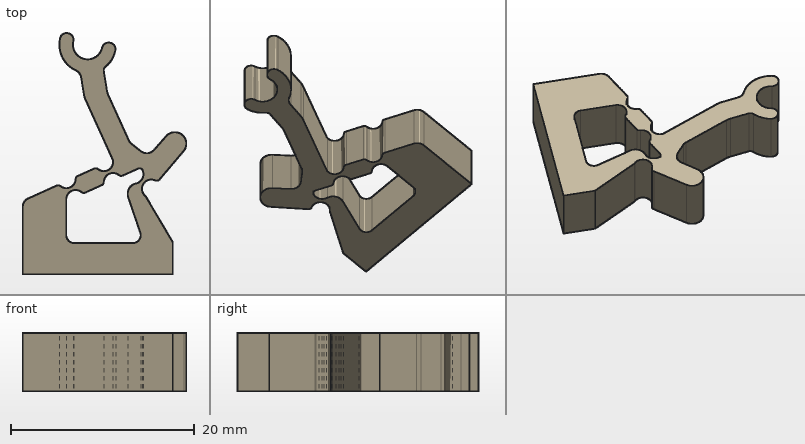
import cadquery as cq
import math

thickness = 6.35
base_width = 16.34
base_right_height = 3.5
base_corner_radius = 1.0

notch_radius = 1.0
web_thickness = 0.44
edge_radius = 0.4
notch_offset = notch_radius + web_thickness / 2

tilt = 24.4
band_axis_height = 6.27
band_half_width = 1.0
hinge_1_along = 8.615
hinge_2_along = 13.093

arm_left_offset = 0.97
arm_width = 2.48
bend_radius = 1.9
hook_center = (7.075, 24.97)
hook_inner_radius = 1.59
hook_wall = 1.5
hook_left_tip_angle = 167.0
hook_right_tip_angle = -12.5
neck_angle = 99.2
neck_width = 2.56
neck_left_radius = 1.0
neck_right_radius = 0.5

hinge_3 = (13.055, 10.085)
horn_angle = 49.7
horn_length = 5.41
horn_radius = 1.255
saddle_center = (13.5, 14.23)
saddle_radius = 1.05
knee_center_height = 14.98
knee_radius = 1.0

leg_outer_angle = 120.6
leg_tip_radius = 1.18
leg_tip_direction = -77.7

window_floor = 3.41
window_corner_radius = 0.85
window_right_corner_x = 11.98
head_tip_radius = 0.35
head_tip_along = 16.2

touching_tolerance = 1e-3


def shifted(point, distance, angle):
    """Point at a distance from another point, in the direction of an angle in degrees."""
    turn = math.radians(angle)
    return (point[0] + distance * math.cos(turn), point[1] + distance * math.sin(turn))


def band_point(along, height):
    """Point given along and across the tilted band, measured from the base corner."""
    return shifted(shifted((0, 0), along, tilt), height, tilt + 90)


def crossing(point_a, angle_a, point_b, angle_b):
    """Point where two lines cross."""
    dx = point_b[0] - point_a[0]
    dy = point_b[1] - point_a[1]
    b = math.radians(angle_b)
    distance = (dx * math.sin(b) - dy * math.cos(b)) / math.sin(math.radians(angle_b - angle_a))
    return shifted(point_a, distance, angle_a)


def edge_round(notch, point, angle, material_side):
    """Center of the rounded edge between a notch and a straight face.

    The face runs through the point and heads away from the notch at the angle. The material is
    on its left (+1) or on its right (-1).
    """
    inner = shifted(point, edge_radius, angle + 90 * material_side)
    turn = math.radians(angle)
    dx = notch[0] - inner[0]
    dy = notch[1] - inner[1]
    along = dx * math.cos(turn) + dy * math.sin(turn)
    across = dy * math.cos(turn) - dx * math.sin(turn)
    reach = math.sqrt((notch_radius + edge_radius) ** 2 - across**2)
    return shifted(inner, along + reach, angle)


def belt(rounds):
    """Closed wire that runs counterclockwise along a list of (center, radius).

    Neighboring circles are joined by their common tangent. The wire turns left around a positive
    radius, right around a negative one, and has a sharp corner at a radius of zero.
    """
    count = len(rounds)
    headings = []
    lengths = []
    for i in range(count):
        start, start_radius = rounds[i]
        end, end_radius = rounds[(i + 1) % count]
        dx = end[0] - start[0]
        dy = end[1] - start[1]
        ratio = (start_radius - end_radius) / math.hypot(dx, dy)
        lean = math.asin(max(-1, min(1, ratio)))
        headings.append(math.degrees(math.atan2(dy, dx) + lean))
        lengths.append(math.hypot(dx, dy) * math.cos(lean))

    center, radius = rounds[0]
    path = cq.Workplane("XY").moveTo(*shifted(center, radius, headings[0] - 90))
    for i in range(count):
        center, radius = rounds[(i + 1) % count]
        next_heading = headings[(i + 1) % count]
        if lengths[i] > touching_tolerance:
            path = path.lineTo(*shifted(center, radius, headings[i] - 90))
        if radius != 0:
            direction = math.copysign(1, radius)
            sweep = direction * ((direction * (next_heading - headings[i])) % 360)
            middle = shifted(center, radius, headings[i] + sweep / 2 - 90)
            path = path.threePointArc(middle, shifted(center, radius, next_heading - 90))
    return path.close()


band_top = band_axis_height + band_half_width
band_bottom = band_axis_height - band_half_width
top_face = band_point(0, band_top)
bottom_face = band_point(0, band_bottom)

notch_1_top = band_point(hinge_1_along, band_axis_height + notch_offset)
notch_1_bottom = band_point(hinge_1_along, band_axis_height - notch_offset)
notch_2_top = band_point(hinge_2_along, band_axis_height + notch_offset)
notch_2_bottom = band_point(hinge_2_along, band_axis_height - notch_offset)
notch_3_inner = shifted(hinge_3, notch_offset, horn_angle + 90)
notch_3_outer = shifted(hinge_3, notch_offset, horn_angle - 90)


def horn_and_leg():
    """Outline from the right end of the base up the leg and around the horn."""
    leg_foot = (base_width, base_right_height)
    horn_tip = shifted(hinge_3, horn_length, horn_angle)
    horn_side = shifted(hinge_3, horn_radius, horn_angle - 90)
    return [
        ((base_width, 0), 0),
        (leg_foot, 0),
        (edge_round(notch_3_outer, leg_foot, leg_outer_angle + 180, -1), edge_radius),
        (notch_3_outer, -notch_radius),
        (edge_round(notch_3_outer, horn_side, horn_angle, 1), edge_radius),
        (horn_tip, horn_radius),
        (saddle_center, -saddle_radius),
    ]


def arm_and_hook():
    """Outline up the right side of the arm, around the hook and down to the second hinge."""
    arm_angle = tilt + 90
    arm_left = band_point(hinge_2_along + arm_left_offset, 0)
    arm_right = shifted(arm_left, arm_width, tilt)
    knee_side = shifted(arm_right, knee_radius, tilt)
    knee = crossing(knee_side, arm_angle, (0, knee_center_height), 0)

    def bend_center(neck_side, arm_side):
        return crossing(
            shifted(neck_side, bend_radius, neck_angle - 90),
            neck_angle,
            shifted(arm_side, bend_radius, arm_angle - 90),
            arm_angle,
        )

    neck_right = shifted(hook_center, neck_width / 2, neck_angle - 90)
    neck_left = shifted(hook_center, neck_width / 2, neck_angle + 90)
    bend_right = bend_center(neck_right, arm_right)
    bend_left = bend_center(neck_left, arm_left)
    arm_foot_angle = tilt - math.degrees(math.acos(arm_left_offset / notch_radius))
    arm_foot = shifted(notch_2_top, notch_radius, arm_foot_angle)

    tip_radius = hook_wall / 2
    tip_path_radius = hook_inner_radius + tip_radius
    hook_outer_radius = hook_inner_radius + hook_wall

    def neck_round(radius, side):
        across = neck_width / 2 + radius
        down = math.sqrt((hook_outer_radius + radius) ** 2 - across**2)
        return shifted(shifted(hook_center, -down, neck_angle), across, neck_angle + 90 * side)

    return [
        (knee, -knee_radius),
        (bend_right, -bend_radius),
        (neck_round(neck_right_radius, -1), -neck_right_radius),
        (hook_center, hook_outer_radius),
        (shifted(hook_center, tip_path_radius, hook_right_tip_angle), tip_radius),
        (hook_center, -hook_inner_radius),
        (shifted(hook_center, tip_path_radius, hook_left_tip_angle), tip_radius),
        (hook_center, hook_outer_radius),
        (neck_round(neck_left_radius, 1), -neck_left_radius),
        (bend_left, bend_radius),
        (arm_foot, 0),
    ]


def band_top_side():
    """Outline along the top of the band, from the second hinge to the base corner."""
    slope_corner = crossing(top_face, tilt, (base_corner_radius, 0), 90)
    base_corner = shifted(slope_corner, -base_corner_radius / math.cos(math.radians(tilt)), 90)
    return [
        (notch_2_top, -notch_radius),
        (edge_round(notch_2_top, top_face, tilt + 180, 1), edge_radius),
        (edge_round(notch_1_top, top_face, tilt, -1), edge_radius),
        (notch_1_top, -notch_radius),
        (edge_round(notch_1_top, top_face, tilt + 180, 1), edge_radius),
        (base_corner, base_corner_radius),
    ]


def window():
    """Outline of the opening enclosed by the base, the leg and the band."""
    floor_round_height = window_floor + window_corner_radius
    left_corner_x = notch_1_bottom[0] - notch_radius + window_corner_radius
    leg_tip = shifted(notch_3_inner, notch_radius + leg_tip_radius, leg_tip_direction)
    return [
        ((left_corner_x, floor_round_height), window_corner_radius),
        ((window_right_corner_x, floor_round_height), window_corner_radius),
        (leg_tip, -leg_tip_radius),
        (notch_3_inner, notch_radius),
        (band_point(head_tip_along, band_bottom - head_tip_radius), head_tip_radius),
        (edge_round(notch_2_bottom, bottom_face, tilt, 1), -edge_radius),
        (notch_2_bottom, notch_radius),
        (edge_round(notch_2_bottom, bottom_face, tilt + 180, -1), -edge_radius),
        (edge_round(notch_1_bottom, bottom_face, tilt, 1), -edge_radius),
        (notch_1_bottom, notch_radius),
    ]


outline = [((0, 0), 0)] + horn_and_leg() + arm_and_hook() + band_top_side()
plate = belt(outline).extrude(thickness)
opening = belt(window()).extrude(thickness)
result = plate.cut(opening)